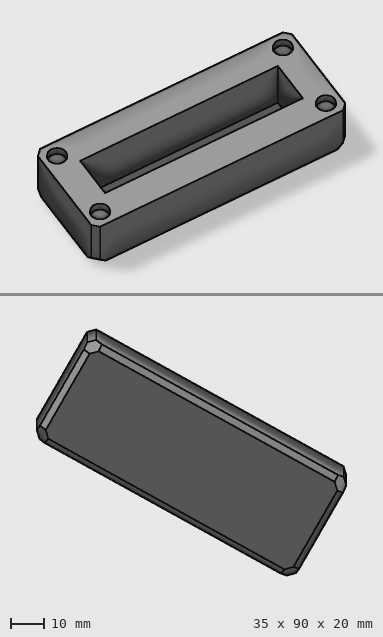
import cadquery as cq

width = 35.0
length = 90.0
height = 20.0
edge_chamfer = 2.0
corner_cut = 3 * edge_chamfer

pocket_width = 14.5
pocket_length = 70.0
floor_thickness = 2.0
pocket_depth = height - floor_thickness

hole_diameter = 6.1
hole_depth = 3.0
hole_inset_from_side = 5.0
hole_spacing_x = width - 2 * hole_inset_from_side
hole_spacing_y = length - 2 * hole_inset_from_side


def make_block():
    """Block standing on Z = 0, chamfered on its upright edges and around its bottom."""
    block = cq.Workplane("XY").box(width, length, height, centered=(True, True, False))
    return block.edges("|Z or <Z").chamfer(edge_chamfer)


def corner_tetrahedron(x_side, y_side):
    """Tetrahedron filling the bottom corner on the given X and Y sides (each -1 or 1)."""
    x_corner = x_side * width / 2
    y_corner = y_side * length / 2
    corner = cq.Vector(x_corner, y_corner, 0)
    along_x = cq.Vector(x_corner - x_side * corner_cut, y_corner, 0)
    along_y = cq.Vector(x_corner, y_corner - y_side * corner_cut, 0)
    along_z = cq.Vector(x_corner, y_corner, corner_cut)
    triangles = [
        (corner, along_x, along_y),
        (corner, along_y, along_z),
        (corner, along_z, along_x),
        (along_x, along_y, along_z),
    ]
    faces = [cq.Face.makeFromWires(cq.Wire.makePolygon(points, close=True)) for points in triangles]
    return cq.Solid.makeSolid(cq.Shell.makeShell(faces)).fix()


def cut_bottom_corners(body):
    """Slice each bottom corner with a plane equally inclined to X, Y and Z."""
    for x_side in (-1, 1):
        for y_side in (-1, 1):
            body = body.cut(cq.Workplane(obj=corner_tetrahedron(x_side, y_side)))
    return body


def cut_pocket(body):
    """Central rectangular pocket cut down from the top face."""
    top = body.faces(">Z").workplane(origin=(0, 0, height))
    return top.rect(pocket_width, pocket_length).cutBlind(-pocket_depth)


def cut_corner_holes(body):
    """Flat-bottomed hole in each corner of the top face."""
    top = body.faces(">Z").workplane(origin=(0, 0, height))
    centers = top.rect(hole_spacing_x, hole_spacing_y, forConstruction=True).vertices()
    return centers.hole(hole_diameter, hole_depth)


body = make_block()
body = cut_bottom_corners(body)
body = cut_pocket(body)
body = cut_corner_holes(body)
result = cq.Workplane(obj=body.solids().val())